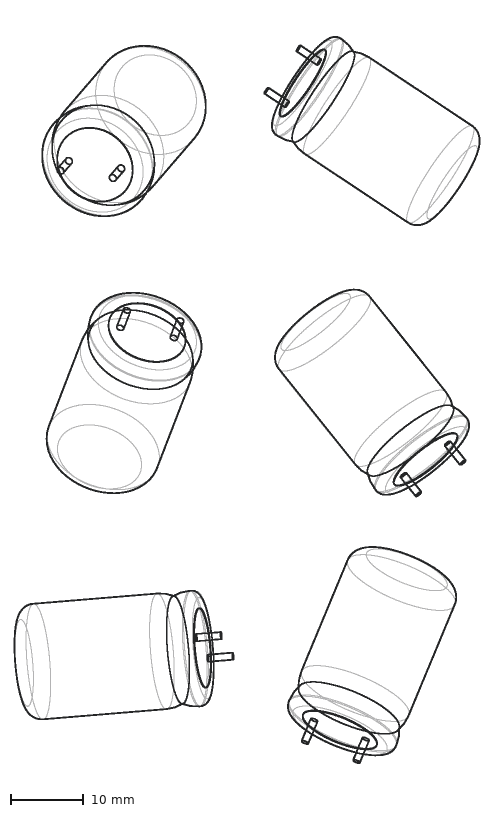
import cadquery as cq
import math


can_radius = 8.0
can_length = 25.2
back_edge_radius = 2.0
front_edge_radius = 1.0

front_land = 0.2
bulge_length = 2.3
waist_radius = 7.45

recess_radius = 5.5
recess_depth = 0.1

lead_diameter = 1.0
lead_pitch = 7.62
lead_length = 3.4

front_bulge_start = front_edge_radius + front_land
waist_y = front_bulge_start + bulge_length
back_bulge_end = waist_y + bulge_length
back_edge_start = can_length - back_edge_radius

waist_depth = can_radius - waist_radius
bulge_radius = (bulge_length**2 + waist_depth**2) / (2 * waist_depth)
bulge_half_angle = math.asin(bulge_length / bulge_radius) / 2
bulge_mid_offset = bulge_radius * math.sin(bulge_half_angle)
bulge_mid_radius = can_radius - bulge_radius * (1 - math.cos(bulge_half_angle))


def corner_midpoint(center_y, radius, direction):
    """Middle of a rounded can edge; direction is -1 at the front and +1 at the back."""
    reach = radius * math.sin(math.pi / 4)
    return (can_radius - radius + reach, center_y + direction * reach)


def make_can():
    profile = (
        cq.Workplane("XY")
        .lineTo(can_radius - front_edge_radius, 0)
        .threePointArc(
            corner_midpoint(front_edge_radius, front_edge_radius, -1),
            (can_radius, front_edge_radius),
        )
        .lineTo(can_radius, front_bulge_start)
        .threePointArc(
            (bulge_mid_radius, front_bulge_start + bulge_mid_offset),
            (waist_radius, waist_y),
        )
        .threePointArc(
            (bulge_mid_radius, back_bulge_end - bulge_mid_offset),
            (can_radius, back_bulge_end),
        )
        .lineTo(can_radius, back_edge_start)
        .threePointArc(
            corner_midpoint(back_edge_start, back_edge_radius, 1),
            (can_radius - back_edge_radius, can_length),
        )
        .lineTo(0, can_length)
        .close()
    )
    return profile.revolve(360, (0, 0, 0), (0, 1, 0))


def cylinder_along_y(x, start_y, end_y, radius):
    length = end_y - start_y
    return cq.Workplane(cq.Solid.makeCylinder(radius, length, cq.Vector(x, start_y, 0), cq.Vector(0, 1, 0)))


result = make_can().cut(cylinder_along_y(0, 0, recess_depth, recess_radius))

for side in (-1, 1):
    lead_x = side * lead_pitch / 2
    lead = cylinder_along_y(lead_x, -lead_length, recess_depth, lead_diameter / 2)
    result = result.union(lead)